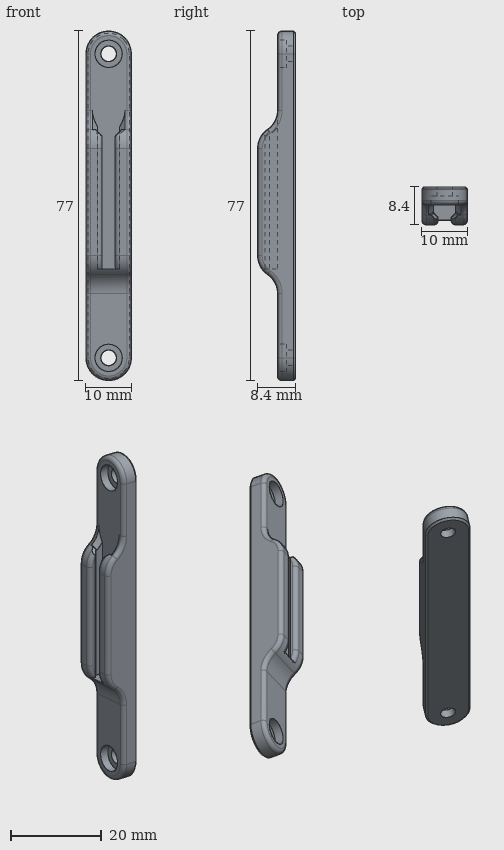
import cadquery as cq
import math

LENGTH = 77.0
WIDTH = 10.0
PLATE_THICKNESS = 4.0
RAIL_THICKNESS = 8.4
FRONT_FILLET = 1.0
BACK_CHAMFER = 0.5

STEP_TOP = 21.0
STEP_BOTTOM = -19.3
STEP_LENGTH = 8.4

CHANNEL_HALF_WIDTH = 2.425
LIP_OVERHANG = 1.0
LIP_HALF_GAP = CHANNEL_HALF_WIDTH - LIP_OVERHANG
UNDERCUT_DEPTH = 1.8
CHANNEL_BOTTOM = -13.9
MOUTH_CHAMFER = 1.15
LIP_LEAD_IN_BOTTOM = 15.3

EDGE_MARGIN = 0.01

HOLE_DIAMETER = 3.4
COUNTERBORE_DIAMETER = 6.0
COUNTERBORE_DEPTH = 2.0

HALF_LENGTH = LENGTH / 2
END_RADIUS = WIDTH / 2
HOLE_OFFSET = HALF_LENGTH - END_RADIUS

STEP_HEIGHT = RAIL_THICKNESS - PLATE_THICKNESS
STEP_RADIUS = (STEP_LENGTH**2 + STEP_HEIGHT**2) / (4 * STEP_HEIGHT)
STEP_ANGLE = math.asin(STEP_LENGTH / 2 / STEP_RADIUS)
MIDSTEP_Y = -(PLATE_THICKNESS + RAIL_THICKNESS) / 2
MIDSTEP_TOP_Z = STEP_TOP - STEP_LENGTH / 2

HALF_ARC_RUN = STEP_RADIUS * math.sin(STEP_ANGLE / 2)
HALF_ARC_BOW = STEP_RADIUS * (1 - math.cos(STEP_ANGLE / 2))


def block(x_half, y_front, y_back, z_low, z_high):
    """Box symmetric about the YZ plane."""
    size = (2 * x_half, y_back - y_front, z_high - z_low)
    return cq.Workplane("XY").box(*size, centered=(True, False, False)).translate((0, y_front, z_low))


def step_arcs(outline, y_start, y_end, z_start):
    """Add a step running down Z from (y_start, z_start) to the level y_end."""
    z_end = z_start - STEP_LENGTH
    bow = math.copysign(HALF_ARC_BOW, y_end - y_start)
    first_arc = (y_start + bow, z_start - HALF_ARC_RUN)
    second_arc = (y_end - bow, z_end + HALF_ARC_RUN)
    outline = outline.threePointArc(first_arc, (MIDSTEP_Y, z_start - STEP_LENGTH / 2))
    return outline.threePointArc(second_arc, (y_end, z_end))


def solid_bar():
    """Round-ended bar with the raised middle, before the channel is cut."""
    outline = cq.Workplane("YZ").moveTo(0, HALF_LENGTH).lineTo(-PLATE_THICKNESS, HALF_LENGTH)
    outline = outline.lineTo(-PLATE_THICKNESS, STEP_TOP)
    outline = step_arcs(outline, -PLATE_THICKNESS, -RAIL_THICKNESS, STEP_TOP)
    outline = outline.lineTo(-RAIL_THICKNESS, STEP_BOTTOM + STEP_LENGTH)
    outline = step_arcs(outline, -RAIL_THICKNESS, -PLATE_THICKNESS, STEP_BOTTOM + STEP_LENGTH)
    outline = outline.lineTo(-PLATE_THICKNESS, -HALF_LENGTH).lineTo(0, -HALF_LENGTH).close()
    profile = outline.extrude(WIDTH / 2, both=True)
    stadium = cq.Workplane("XZ").slot2D(LENGTH, WIDTH, 90).extrude(RAIL_THICKNESS)
    bar = profile.intersect(stadium)
    bar = bar.faces(">Y").chamfer(BACK_CHAMFER)
    front_edge = bar.faces("<X").edges("<Y")
    return front_edge.fillet(FRONT_FILLET)


def slot_bar(bar, half_gap):
    """Slot the bar through its thickness; return it with the slot's long front edges selected."""
    slotted = bar.cut(block(half_gap, -RAIL_THICKNESS, 0, CHANNEL_BOTTOM, HOLE_OFFSET - END_RADIUS))
    slot_strip = cq.selectors.BoxSelector(
        (-half_gap - EDGE_MARGIN, -RAIL_THICKNESS - EDGE_MARGIN, CHANNEL_BOTTOM + EDGE_MARGIN),
        (half_gap + EDGE_MARGIN, -PLATE_THICKNESS + EDGE_MARGIN, HALF_LENGTH),
    )
    return slotted.edges(slot_strip)


def above_midstep():
    """Region above the plane square to the upper step at its middle."""
    region = block(LENGTH, -LENGTH, LENGTH, 0, 2 * LENGTH)
    region = region.rotate((0, 0, 0), (1, 0, 0), -math.degrees(STEP_ANGLE))
    return region.translate((0, MIDSTEP_Y, MIDSTEP_TOP_Z))


def undercut():
    """Wide channel behind the lips, narrowing at 45 degrees to the lip gap."""
    neck_y = -PLATE_THICKNESS - UNDERCUT_DEPTH
    tip_y = neck_y - LIP_OVERHANG
    section = [
        (-CHANNEL_HALF_WIDTH, -PLATE_THICKNESS),
        (-CHANNEL_HALF_WIDTH, neck_y),
        (-LIP_HALF_GAP, tip_y),
        (LIP_HALF_GAP, tip_y),
        (CHANNEL_HALF_WIDTH, neck_y),
        (CHANNEL_HALF_WIDTH, -PLATE_THICKNESS),
    ]
    prism = cq.Workplane("XY").polyline(section).close().extrude(STEP_TOP - CHANNEL_BOTTOM)
    return prism.translate((0, 0, CHANNEL_BOTTOM))


def lip_lead_in():
    """Funnel that bevels the upper ends of the lips at 45 degrees."""
    spread = MIDSTEP_TOP_Z - LIP_LEAD_IN_BOTTOM
    section = [
        (-LIP_HALF_GAP, LIP_LEAD_IN_BOTTOM),
        (LIP_HALF_GAP, LIP_LEAD_IN_BOTTOM),
        (LIP_HALF_GAP + spread, MIDSTEP_TOP_Z),
        (-LIP_HALF_GAP - spread, MIDSTEP_TOP_Z),
    ]
    neck_plane = cq.Workplane("XZ", origin=(0, -PLATE_THICKNESS - UNDERCUT_DEPTH, 0))
    return neck_plane.polyline(section).close().extrude(RAIL_THICKNESS)


def screw_hole(z):
    """Through bore and front counterbore of one screw hole."""
    bore = cq.Workplane("XZ").center(0, z).circle(HOLE_DIAMETER / 2).extrude(PLATE_THICKNESS)
    seat = cq.Workplane("XZ", origin=(0, COUNTERBORE_DEPTH - PLATE_THICKNESS, 0))
    return bore.union(seat.center(0, z).circle(COUNTERBORE_DIAMETER / 2).extrude(COUNTERBORE_DEPTH))


bar = solid_bar()

upper_rails = slot_bar(bar, CHANNEL_HALF_WIDTH).chamfer(MOUTH_CHAMFER).intersect(above_midstep())
lower_rails = slot_bar(bar, LIP_HALF_GAP).fillet(FRONT_FILLET).cut(above_midstep())

floor = block(WIDTH / 2 - FRONT_FILLET, -PLATE_THICKNESS, 0, -HOLE_OFFSET, HOLE_OFFSET)

result = upper_rails.union(lower_rails).cut(undercut()).cut(lip_lead_in()).union(floor)
for hole_z in (-HOLE_OFFSET, HOLE_OFFSET):
    result = result.cut(screw_hole(hole_z))